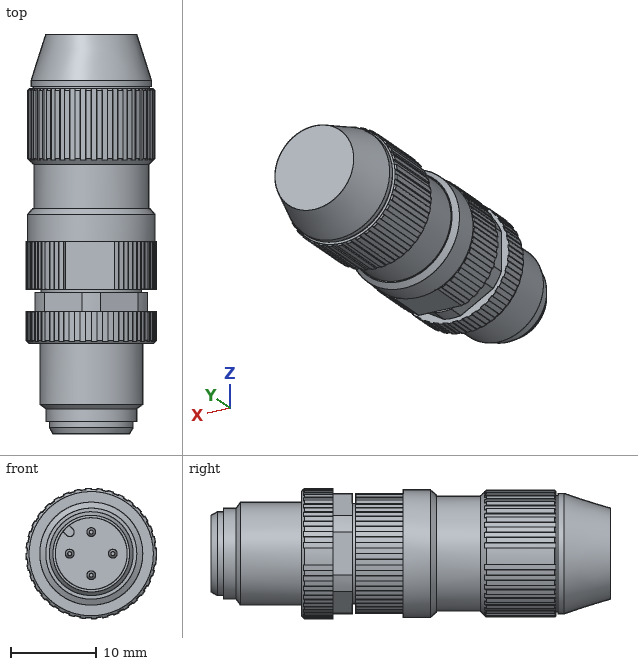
import cadquery as cq
import math

length = 46.75

rim_radius = 4.5
nose_radius = 4.9
nose_chamfer_end = 0.75
nose_end = 1.45
step_radius = 5.35
step_end = 2.95
shell_radius = 6.05
shell_chamfer_end = 3.45

front_knurl_radius = 15.3 / 2
front_knurl_start = 10.55
front_knurl_end = 14.3
front_knurl_chamfer = 0.37
hex_across_flats = 13.2
hex_corner_radius = 7.05
hex_end = 16.55
neck_radius = 5.9
neck_end = 16.92

middle_knurl_end = 22.5
wrench_flat_height = 7.0
collar_radius = 7.5
collar_chamfer_start = 25.65
collar_chamfer_end = 26.35
collar_rear_radius = 6.85
body_radius = 6.75

rear_knurl_radius = 7.45
rear_knurl_start = 31.5
rear_knurl_end = 40.4
rear_knurl_front_chamfer = rear_knurl_radius - body_radius
rear_knurl_rear_chamfer = 0.2
relief_radius = 6.83
relief_end = 40.63
band_radius = 7.05
band_end = 41.35
cable_end_radius = 5.35

tooth_count = 36
groove_angle = 180.0 / tooth_count
front_groove_depth = 0.115
rear_groove_depth = 0.2

socket_radius = 4.2
socket_depth = 8.4
pin_count = 4
pin_circle_radius = 2.52
pin_radius = 0.5
pin_tip_radius = 0.25
pin_tip_length = 0.6
pin_start = 2.1
key_angle = 135.0
key_half_width = 0.5
key_inner_radius = 3.05
key_start = 0.4
root_overlap = 0.15


def turned(points):
    """Revolve a (radius, Y) outline that starts and ends on the Y axis."""
    return cq.Workplane("XY").polyline(points).close().revolve(360, (0, 0, 0), (0, 1, 0))


def plane_at(y):
    """Workplane across the axis at y, with local x = X, local y = Z and normal -Y."""
    return cq.Workplane("XZ", origin=(0, y, 0))


def prism(sketch, start, end):
    """Extrude a sketch drawn on plane_at(start) back to end."""
    return sketch.extrude(start - end)


def polar(radius, angle):
    return radius * math.cos(math.radians(angle)), radius * math.sin(math.radians(angle))


def knurl_grooves(start, end, outer_radius, depth):
    """Wedges to cut between the teeth; the first groove starts at +Z and leans to +X."""
    root_radius = outer_radius - depth
    reach = outer_radius + depth
    grooves = plane_at(start)
    for index in range(tooth_count):
        first = 90 - 2 * index * groove_angle
        middle = first - groove_angle / 2
        last = first - groove_angle
        grooves = (
            grooves.moveTo(*polar(root_radius, first))
            .threePointArc(polar(root_radius, middle), polar(root_radius, last))
            .lineTo(*polar(reach, last))
            .lineTo(*polar(reach, first))
            .close()
        )
    return prism(grooves, start, end)


def plug_shell():
    return turned([
        (0, 0),
        (rim_radius, 0),
        (nose_radius, nose_chamfer_end),
        (nose_radius, nose_end),
        (step_radius, nose_end),
        (step_radius, step_end),
        (shell_radius, shell_chamfer_end),
        (shell_radius, front_knurl_start),
        (0, front_knurl_start),
    ])


def front_knurl():
    ring = turned([
        (0, front_knurl_start),
        (front_knurl_radius - front_knurl_chamfer, front_knurl_start),
        (front_knurl_radius, front_knurl_start + front_knurl_chamfer),
        (front_knurl_radius, front_knurl_end),
        (0, front_knurl_end),
    ])
    return ring.cut(
        knurl_grooves(front_knurl_start, front_knurl_end, front_knurl_radius, front_groove_depth)
    )


def hexagon():
    """Hexagon with flats facing +X and -X, its corners turned round."""
    corner_diameter = hex_across_flats / math.cos(math.radians(30))
    start = front_knurl_end
    sketch = plane_at(start).transformed(rotate=(0, 0, 30)).polygon(6, corner_diameter)
    blank = prism(plane_at(start).circle(hex_corner_radius), start, hex_end)
    return prism(sketch, start, hex_end).intersect(blank)


def middle_knurl():
    ring = prism(plane_at(neck_end).circle(front_knurl_radius), neck_end, middle_knurl_end)
    ring = ring.cut(knurl_grooves(neck_end, middle_knurl_end, front_knurl_radius, front_groove_depth))
    between_flats = plane_at(neck_end).rect(3 * front_knurl_radius, 2 * wrench_flat_height)
    return ring.intersect(prism(between_flats, neck_end, middle_knurl_end))


def collar_and_body():
    return turned([
        (0, middle_knurl_end),
        (collar_radius, middle_knurl_end),
        (collar_radius, collar_chamfer_start),
        (collar_rear_radius, collar_chamfer_end),
        (body_radius, collar_chamfer_end),
        (body_radius, rear_knurl_start),
        (0, rear_knurl_start),
    ])


def rear_knurl():
    ring = turned([
        (0, rear_knurl_start),
        (body_radius, rear_knurl_start),
        (rear_knurl_radius, rear_knurl_start + rear_knurl_front_chamfer),
        (rear_knurl_radius, rear_knurl_end - rear_knurl_rear_chamfer),
        (rear_knurl_radius - rear_knurl_rear_chamfer, rear_knurl_end),
        (0, rear_knurl_end),
    ])
    return ring.cut(
        knurl_grooves(rear_knurl_start, rear_knurl_end, rear_knurl_radius, rear_groove_depth)
    )


def cable_cone():
    return turned([
        (0, rear_knurl_end),
        (relief_radius, rear_knurl_end),
        (relief_radius, relief_end),
        (band_radius, relief_end),
        (band_radius, band_end),
        (cable_end_radius, length),
        (0, length),
    ])


def pin(angle):
    """Contact pin with a tapered tip, rooted in the socket floor."""
    x, z = polar(pin_circle_radius, angle)
    shaft = turned([
        (0, pin_start),
        (pin_tip_radius, pin_start),
        (pin_radius, pin_start + pin_tip_length),
        (pin_radius, socket_depth + root_overlap),
        (0, socket_depth + root_overlap),
    ])
    return shaft.translate((x, 0, z))


def coding_key():
    """Rib with a round inner edge, running along the socket wall to its floor."""
    wall = socket_radius + root_overlap
    round_center = key_inner_radius + key_half_width
    sketch = (
        plane_at(key_start)
        .transformed(rotate=(0, 0, key_angle))
        .moveTo(wall, key_half_width)
        .lineTo(round_center, key_half_width)
        .threePointArc((key_inner_radius, 0), (round_center, -key_half_width))
        .lineTo(wall, -key_half_width)
        .close()
    )
    return prism(sketch, key_start, socket_depth + root_overlap)


neck = prism(plane_at(hex_end).circle(neck_radius), hex_end, neck_end)
sections = [
    front_knurl(),
    hexagon(),
    neck,
    middle_knurl(),
    collar_and_body(),
    rear_knurl(),
    cable_cone(),
]

result = plug_shell()
for section in sections:
    result = result.union(section)

result = result.cut(prism(plane_at(0).circle(socket_radius), 0, socket_depth))
for index in range(pin_count):
    result = result.union(pin(index * 360 / pin_count))
result = result.union(coding_key())